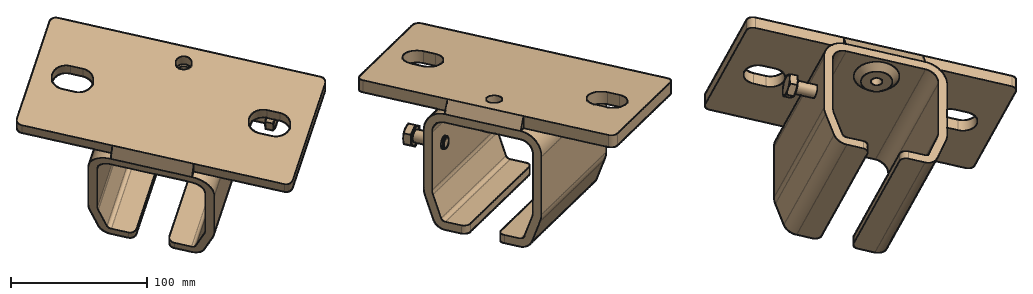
import cadquery as cq
import math


plate_length = 210.0
plate_width = 100.0
plate_thickness = 10.0
corner_radius = 5.0
slot_length = 31.0
slot_width = 21.5
slot_offset = 75.0
plate_hole_diameter = 12.0
hole_y = 35.3

channel_length = 110.0
channel_width = 96.0
channel_height = 96.0
wall = 7.0
upper_bend_radius = 17.0
knee_bend_radius = 17.2
lower_bend_radius = 10.5
knee_depth = 68.0
taper_angle = 20.0
mouth_width = 25.0
channel_hole_diameter = 8.5
boss_top_diameter = 33.5
boss_bottom_diameter = 23.0
boss_height = 5.0

bolt_depth = 34.9
bolt_y = hole_y
bolt_tip_x = 38.8
shank_diameter = 10.0
tip_chamfer = 0.8
washer_face_x = 63.8
washer_face_diameter = 14.7
washer_face_thickness = 0.5
head_height = 6.3
head_corner_diameter = 18.0
head_crown_diameter = 15.5
head_crown_angle = 30.0


def make_plate():
    plate = (
        cq.Workplane("XY")
        .box(plate_length, plate_width, plate_thickness, centered=(True, True, False))
        .edges("|Z").fillet(corner_radius)
    )
    slots = (
        cq.Workplane("XY")
        .pushPoints([(-slot_offset, 0), (slot_offset, 0)])
        .slot2D(slot_length, slot_width)
        .extrude(plate_thickness)
    )
    hole = cq.Workplane("XY").center(0, hole_y).circle(plate_hole_diameter / 2).extrude(plate_thickness)
    return plate.cut(slots).cut(hole)


def channel_prism(inset):
    """Solid enclosed by the channel's outer surface moved inward by inset."""
    half_width = channel_width / 2 - inset
    top = -inset
    bottom = -channel_height + inset
    taper = math.radians(taper_angle)
    knee = -knee_depth + inset * math.tan(taper / 2)
    foot = half_width - (knee - bottom) * math.tan(taper)
    outline = [
        (-half_width, top),
        (half_width, top),
        (half_width, knee),
        (foot, bottom),
        (-foot, bottom),
        (-half_width, knee),
    ]
    prism = cq.Workplane("XZ").polyline(outline).close().extrude(channel_length / 2, both=True)
    for height, radius in ((top, upper_bend_radius), (knee, knee_bend_radius), (bottom, lower_bend_radius)):
        band = cq.selectors.BoxSelector(
            (-channel_width, -channel_length, height - wall / 2),
            (channel_width, channel_length, height + wall / 2),
        )
        prism = prism.edges("|Y").edges(band).fillet(radius - inset)
    return prism


def make_channel():
    channel = channel_prism(0).cut(channel_prism(wall))

    mouth = cq.Workplane("XY").box(mouth_width, channel_length, 2 * wall).translate((0, 0, -channel_height))
    channel = channel.cut(mouth)
    lip_ends = cq.selectors.BoxSelector(
        (-mouth_width, -channel_length, -channel_height - wall),
        (mouth_width, channel_length, -channel_height + 2 * wall),
    )
    channel = channel.edges("|Z").edges(lip_ends).fillet(corner_radius)

    boss = (
        cq.Workplane("XY", origin=(0, hole_y, -wall))
        .circle(boss_top_diameter / 2)
        .workplane(offset=-boss_height)
        .circle(boss_bottom_diameter / 2)
        .loft()
    )
    hole = (
        cq.Workplane("XY", origin=(0, hole_y, 0))
        .circle(channel_hole_diameter / 2)
        .extrude(-wall - boss_height)
    )
    bolt_hole = (
        cq.Workplane("YZ", origin=(0, bolt_y, -bolt_depth))
        .circle(shank_diameter / 2)
        .extrude(channel_width)
    )
    return channel.union(boss).cut(hole).cut(bolt_hole)


def make_weld(side):
    """Triangular weld bead along one long plate edge; side is -1 or 1 in Y."""
    plate_edge = side * plate_width / 2
    channel_end = side * channel_length / 2
    length = channel_width - 2 * upper_bend_radius
    return (
        cq.Workplane("YZ")
        .polyline([(plate_edge, 0), (channel_end, 0), (plate_edge, plate_thickness)])
        .close()
        .extrude(length / 2, both=True)
    )


def make_bolt():
    shank = (
        cq.Workplane("YZ", origin=(bolt_tip_x, bolt_y, -bolt_depth))
        .circle(shank_diameter / 2)
        .extrude(washer_face_x - bolt_tip_x)
        .faces("<X").chamfer(tip_chamfer)
    )
    washer_face = (
        cq.Workplane("YZ", origin=(washer_face_x, bolt_y, -bolt_depth))
        .circle(washer_face_diameter / 2)
        .extrude(washer_face_thickness)
    )

    head_base = cq.Workplane("YZ", origin=(washer_face_x + washer_face_thickness, bolt_y, -bolt_depth))
    hexagon = head_base.transformed(rotate=(0, 0, 90)).polygon(6, head_corner_diameter).extrude(head_height)
    crown_width = (head_corner_diameter - head_crown_diameter) / 2
    crown_height = crown_width * math.tan(math.radians(head_crown_angle))
    crown = head_base.circle(head_corner_diameter / 2).extrude(head_height)
    crown = crown.faces(">X").chamfer(crown_height, crown_width)
    return shank.union(washer_face).union(hexagon.intersect(crown))


plate = make_plate()
channel = make_channel()
welds = [make_weld(side) for side in (-1, 1)]
bolt = make_bolt()

result = cq.Compound.makeCompound(
    [plate.val(), channel.val(), bolt.val(), *[weld.val() for weld in welds]]
)